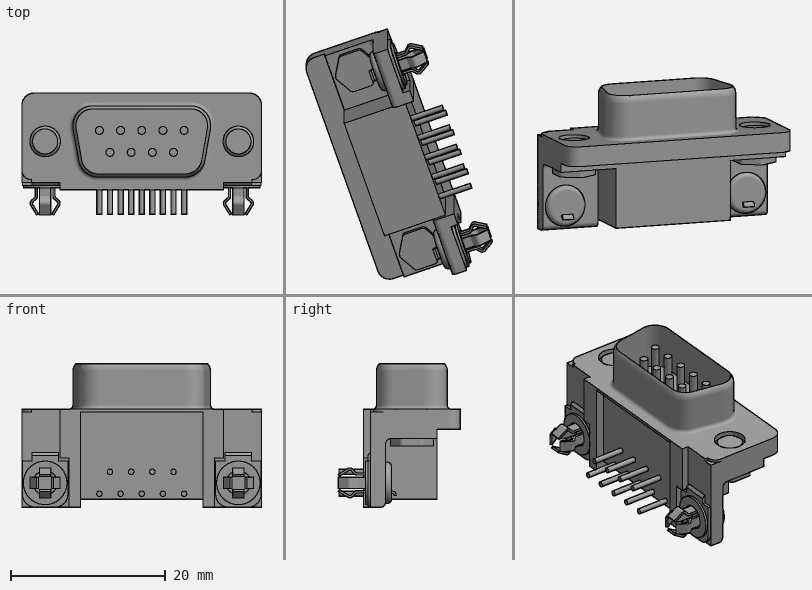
import cadquery as cq
import math


body_length = 31.04
half_length = body_length / 2
flange_depth = 12.54
half_depth = flange_depth / 2
flange_thickness = 2.6
flange_corner_radius = 1.6
plate_thickness = 0.36
body_bottom = -12.71
wing_rear = 3.25
wing_bottom = -3.8
leg_front = -5.33
leg_rear = -3.39
leg_corner_radius = 0.7
leg_inner_x = 7.9
front_rib_outer_x = 10.6
front_rib_foot_x = 9.39
front_rib_step = -6.33
block_face = -5.1
block_bottom = -11.68
notch_radius = 1.23
notch_edge = -4.94

shell_height = 5.89
shell_half_depth = 4.6
shell_mid_half_width = 8.6
shell_side_angle = 10
shell_corner_radius = 2.55
shell_wall = 0.4
shell_round_height = 0.94
flare_radius = 0.5

contacts_per_row = (5, 4)
contact_pitch = 2.74
contact_row_spacing = 2.84
contact_radius = 0.51
contact_tip = 4.55
contact_root = -0.7
tail_radius = 0.35
tail_tip = -9.45
tail_upper_row = -8.1
tail_root_depth = 1.0

mount_x = 12.5
hole_radius = 1.98
stud_radius = 1.62
hole_depth = 0.72
nut_corner_radius = 0.52
nut_circumradius = 2.88
nut_height = 0.97
rivet_radius = 2.69
rivet_height = 0.78
rivet_edge_radius = 0.6

clip_z = -9.53
clip_half_width = 2.93
clip_thickness = 0.38
clip_top = -6.73
clip_bottom = -12.66
clip_corner_radius = 1.6
tab_width = 3.46
tab_top = -5.59
disc_radius = 2.82
disc_thickness = 0.3
eyelet_radius = 1.58
prong_width = 1.47
prong_thickness = 0.3
prong_offset = 1.14
prong_bend_start = -7.25
prong_peak_offset = 1.9
prong_peak = -7.95
prong_tip_offset = 0.98
prong_tip = -9.465
prong_bend_radius = 0.36
hook_offset = 1.2
hook_outer_radius = 0.6


def block(x_range, y_range, z_range):
    """Axis-aligned box between pairs of limits."""
    size = [high - low for low, high in (x_range, y_range, z_range)]
    corner = (x_range[0], y_range[0], z_range[0])
    return cq.Workplane("XY").box(*size, centered=False).translate(corner)


def both_sides(part):
    """The part together with its mirror image across X = 0."""
    return part.union(part.mirror("YZ"))


def y_cylinder(x, z, radius, y_start, y_end):
    """Cylinder along Y between two positions."""
    start = cq.Vector(x, y_start, z)
    direction = cq.Vector(0, y_end - y_start, 0)
    return cq.Workplane(cq.Solid.makeCylinder(radius, abs(y_end - y_start), start, direction))


def make_flange():
    flange = block((-half_length, half_length), (leg_front, half_depth), (-flange_thickness, 0))
    return flange.edges("|Z and >Y").fillet(flange_corner_radius)


def make_side_profile():
    """L-shaped wing and leg, extruded over the whole length."""
    profile = (
        cq.Workplane("YZ")
        .moveTo(wing_rear, -flange_thickness)
        .lineTo(leg_front, -flange_thickness)
        .lineTo(leg_front, body_bottom)
        .lineTo(leg_rear, body_bottom)
        .lineTo(leg_rear, wing_bottom)
        .lineTo(wing_rear, wing_bottom)
        .close()
        .extrude(half_length, both=True)
    )
    for corner_z in (wing_bottom, body_bottom):
        corner = cq.selectors.NearestToPointSelector((0, leg_rear, corner_z))
        profile = profile.edges("|X").edges(corner).fillet(leg_corner_radius)
    return profile


def make_front_rib():
    upper = block(
        (-front_rib_outer_x, front_rib_outer_x), (-half_depth, leg_front), (front_rib_step, 0)
    )
    lower = block(
        (-front_rib_foot_x, front_rib_foot_x), (-half_depth, leg_front), (body_bottom, front_rib_step)
    )
    return upper.union(lower)


def make_front_notch():
    """Sliver left outside the rounded front corner of the face plate."""
    notch = block(
        (-half_length, notch_radius - half_length),
        (leg_front, notch_edge + notch_radius),
        (-plate_thickness, 0),
    )
    rounded_corner = (
        cq.Workplane("XY", origin=(notch_radius - half_length, notch_edge + notch_radius, 0))
        .circle(notch_radius)
        .extrude(-plate_thickness)
    )
    return both_sides(notch.cut(rounded_corner))


def make_housing():
    space_between_legs = block(
        (-leg_inner_x, leg_inner_x), (-half_depth, wing_rear), (body_bottom, -plate_thickness)
    )
    centre_block = block(
        (-leg_inner_x, leg_inner_x), (block_face, wing_rear), (block_bottom, -plate_thickness)
    )
    housing = make_flange().union(make_side_profile()).union(make_front_rib())
    housing = housing.cut(space_between_legs).union(centre_block)
    return housing.cut(make_front_notch())


def d_prism(inset, z_start, z_end):
    """Prism of the D outline, moved inwards by the inset, with rounded corners."""
    slope = math.tan(math.radians(shell_side_angle))
    half_y = shell_half_depth - inset
    mid_x = shell_mid_half_width - inset / math.cos(math.radians(shell_side_angle))
    wide = mid_x + half_y * slope
    narrow = mid_x - half_y * slope
    outline = [(-wide, half_y), (wide, half_y), (narrow, -half_y), (-narrow, -half_y)]
    prism = cq.Workplane("XY", origin=(0, 0, z_start)).polyline(outline).close().extrude(z_end - z_start)
    return prism.edges("|Z").fillet(shell_corner_radius - inset)


def add_shell(housing):
    rim_radius = (shell_wall**2 + shell_round_height**2) / (2 * shell_wall)
    full_round_top = shell_height - shell_round_height + rim_radius
    shell = d_prism(0, -plate_thickness, full_round_top).faces(">Z").edges().fillet(rim_radius)
    foot_corner = (shell_mid_half_width + flare_radius, shell_half_depth + flare_radius, flare_radius / 2)
    foot_edges = cq.selectors.BoxSelector([-limit for limit in foot_corner], foot_corner)
    part = housing.union(shell).edges(foot_edges).fillet(flare_radius)
    cavity = d_prism(shell_wall, -plate_thickness, full_round_top)
    return part.cut(cavity)


def contact_positions():
    """X position and row number of each contact: row 0 is the rear row."""
    return [
        ((index - (count - 1) / 2) * contact_pitch, row)
        for row, count in enumerate(contacts_per_row)
        for index in range(count)
    ]


def add_contacts(part):
    for x, row in contact_positions():
        y = contact_row_spacing * (0.5 - row)
        pin = (
            cq.Workplane("XY", origin=(x, y, contact_root))
            .circle(contact_radius)
            .extrude(contact_tip - contact_root)
        )
        tail_z = tail_upper_row - contact_row_spacing * (1 - row)
        tail = y_cylinder(x, tail_z, tail_radius, block_face + tail_root_depth, tail_tip)
        part = part.union(pin).union(tail)
    return part


def make_mounting_hole():
    """Shallow round hole that leaves a stud with a bevelled end at the depth of the face plate."""
    hole = cq.Workplane("XY", origin=(mount_x, 0, 0)).circle(hole_radius).extrude(-hole_depth)
    bevel_height = hole_depth - plate_thickness
    stud_foot = cq.Vector(mount_x, 0, -hole_depth)
    stud = cq.Workplane(cq.Solid.makeCone(hole_radius, stud_radius, bevel_height, stud_foot))
    return hole.cut(stud)


def make_nut():
    nut = (
        cq.Workplane("XY", origin=(mount_x, 0, wing_bottom))
        .transformed(rotate=(0, 0, 90))
        .polygon(6, 2 * nut_circumradius)
        .extrude(-nut_height)
    )
    return nut.edges("|Z").fillet(nut_corner_radius)


def make_rivet():
    head = y_cylinder(mount_x, clip_z, rivet_radius, leg_rear, leg_rear + rivet_height)
    return head.faces(">Y").edges().fillet(rivet_edge_radius)


def make_clip_plate():
    front = leg_front - clip_thickness
    plate = block(
        (mount_x - clip_half_width, mount_x + clip_half_width), (front, leg_front), (clip_bottom, clip_top)
    )
    plate = plate.edges("|Y and <Z").fillet(clip_corner_radius)
    tab_bevel_foot = tab_top - clip_thickness
    tab_profile = [(leg_front, clip_top), (leg_front, tab_top), (front, tab_bevel_foot), (front, clip_top)]
    tab = cq.Workplane("YZ", origin=(mount_x, 0, 0)).polyline(tab_profile).close()
    tab = tab.extrude(tab_width / 2, both=True)
    disc = y_cylinder(mount_x, clip_z, disc_radius, front, front - disc_thickness)
    eyelet = y_cylinder(mount_x, clip_z, eyelet_radius, leg_front, front - disc_thickness)
    return plate.union(tab).union(disc).cut(eyelet)


def offset_path(path, distance):
    """Points of an open path moved sideways by a distance, mitred at the bends."""
    normals = []
    for (x0, y0), (x1, y1) in zip(path, path[1:]):
        length = math.hypot(x1 - x0, y1 - y0)
        normals.append(((y0 - y1) / length, (x1 - x0) / length))
    moved = []
    for (x, y), before, after in zip(path, normals[:1] + normals, normals + normals[-1:]):
        scale = distance / (1 + before[0] * after[0] + before[1] * after[1])
        moved.append((x + scale * (before[0] + after[0]), y + scale * (before[1] + after[1])))
    return moved


def make_prong():
    """Spring strip on the +X side of the clip axis, with its width along Z."""
    path = [
        (prong_offset, leg_front),
        (prong_offset, prong_bend_start),
        (prong_peak_offset, prong_peak),
        (prong_tip_offset, prong_tip),
    ]
    half = prong_thickness / 2
    outer_side = offset_path(path, half)
    inner_side = offset_path(path, -half)
    strip = cq.Workplane("XY").polyline(outer_side + inner_side[::-1]).close()
    strip = strip.extrude(prong_width / 2, both=True)
    large_radius = prong_bend_radius + half
    small_radius = prong_bend_radius - half
    for side, radii in (
        (outer_side, (small_radius, large_radius)),
        (inner_side, (large_radius, small_radius)),
    ):
        for (x, y), radius in zip(side[1:-1], radii):
            bend = cq.selectors.NearestToPointSelector((x, y, 0))
            strip = strip.edges("|Z").edges(bend).fillet(radius)
    return strip


def make_hook():
    """Strip behind the rivet that leaves it backwards and curls down."""
    hook_y = leg_rear + rivet_height
    hook_centre_z = clip_z - hook_offset + prong_thickness / 2 - hook_outer_radius
    return (
        cq.Workplane("YZ", origin=(mount_x, 0, 0))
        .moveTo(hook_y, hook_centre_z)
        .circle(hook_outer_radius)
        .circle(hook_outer_radius - prong_thickness)
        .extrude(prong_width / 2, both=True)
        .intersect(
            block(
                (mount_x - prong_width, mount_x + prong_width),
                (hook_y, hook_y + hook_outer_radius),
                (hook_centre_z, clip_z),
            )
        )
    )


def make_clip():
    clip = make_clip_plate()
    for quarter in range(4):
        prong = make_prong().rotate((0, 0, 0), (0, 1, 0), 90 * quarter)
        clip = clip.union(prong.translate((mount_x, 0, clip_z)))
    return clip


def make_part():
    part = add_contacts(add_shell(make_housing()))
    part = part.cut(both_sides(make_mounting_hole()))
    for fitting in (make_nut(), make_rivet(), make_hook(), make_clip()):
        part = part.union(both_sides(fitting))
    return part


result = make_part()